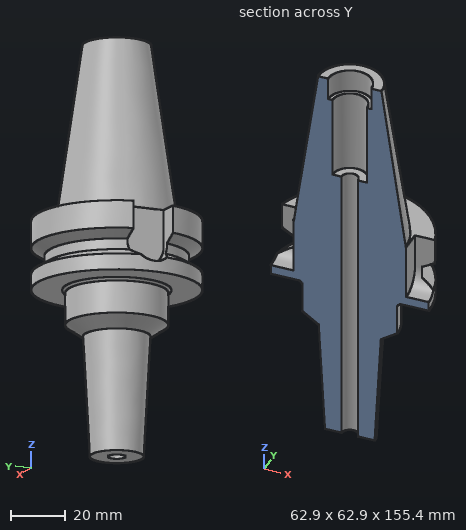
import cadquery as cq

total_height = 155.4
taper_length = 65.5
gauge_height = total_height - taper_length

taper_rate = 7 / 24
gauge_radius = 22.2
shank_top_radius = gauge_radius - taper_length * taper_rate / 2

flange_radius = 31.47
flange_top = gauge_height - 1.0
flange_bottom = gauge_height - 27.0
groove_radius = 26.5
groove_center = 73.8
groove_floor_width = 4.0
groove_mouth_width = 9.8

collar_radius = 19.0
collar_bottom = 49.7
collar_flare = 1.1
nose_top_radius = 12.5
nose_tip_radius = 10.0
nose_top = 45.4

slot_width = 16.2
slot_bottom = 67.0
slot_floor_distance = 22.5

bore_radius = 8.5
bore_depth = 9.0
inner_bore_radius = 6.8
inner_bore_depth = 42.0
through_radius = 3.3


def turned_body():
    """Revolve the shank, flange, collar and nose about Z."""
    half_floor = groove_floor_width / 2
    half_mouth = groove_mouth_width / 2
    profile = [
        (0, 0),
        (nose_tip_radius, 0),
        (nose_top_radius, nose_top),
        (collar_radius, collar_bottom),
        (collar_radius, flange_bottom - collar_flare),
        (collar_radius + collar_flare, flange_bottom),
        (flange_radius, flange_bottom),
        (flange_radius, groove_center - half_mouth),
        (groove_radius, groove_center - half_floor),
        (groove_radius, groove_center + half_floor),
        (flange_radius, groove_center + half_mouth),
        (flange_radius, flange_top),
        (gauge_radius, flange_top),
        (gauge_radius, gauge_height),
        (shank_top_radius, total_height),
        (0, total_height),
    ]
    return cq.Workplane("XZ").polyline(profile).close().revolve(360, (0, 0), (0, 1))


def drive_slot(side):
    """Cutter for the slot on the +X (side = 1) or -X (side = -1) edge of the flange."""
    end_radius = slot_width / 2
    arc_height = slot_bottom + end_radius
    return (
        cq.Workplane("YZ", origin=(side * slot_floor_distance, 0, 0))
        .moveTo(-end_radius, flange_top)
        .lineTo(-end_radius, arc_height)
        .threePointArc((0, slot_bottom), (end_radius, arc_height))
        .lineTo(end_radius, flange_top)
        .close()
        .extrude(side * flange_radius)
    )


def bore_step(radius, depth):
    """Cylinder reaching down from the top of the shank."""
    return cq.Workplane("XY", origin=(0, 0, total_height)).circle(radius).extrude(-depth)


result = turned_body()
for side in (-1, 1):
    result = result.cut(drive_slot(side))

bore_steps = (
    (bore_radius, bore_depth),
    (inner_bore_radius, inner_bore_depth),
    (through_radius, total_height),
)
for radius, depth in bore_steps:
    result = result.cut(bore_step(radius, depth))